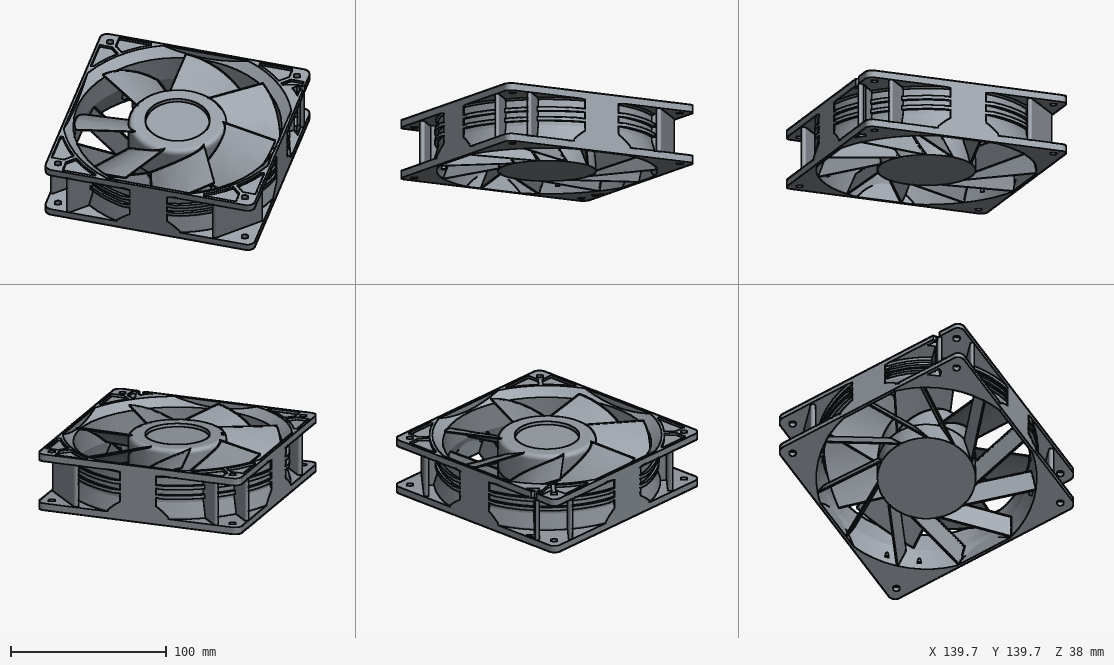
import cadquery as cq
import math

side = 139.7
height = 38.0
half = side / 2
corner_radius = 4.9
flange = 4.7
gap = height - 2 * flange
upper_flange_z = height - flange

bore_radius = 67.0
barrel_radius = 70.1
inlet_radius = 73.8
inlet_depth = 5.0
inlet_outer_depth = 5.9
inlet_slope = (inlet_radius - bore_radius) / inlet_depth
outlet_depth = 15.2
outlet_outer_radius = 72.9
outlet_rim_z = 5.9
outlet_radius = 71.0
mouth_half = 68.0
fin_radius = 72.1
fin_height = 2.4
fin_bottoms = (18.0, 24.5)
panel_width = 24.9

hole_diameter = 4.3
hole_pitch = 124.8
radial_rib_width = 2.7
radial_rib_edge = half - radial_rib_width / 2
cross_rib_width = 3.4
cross_rib_edge = 67.2
cross_rib_offset = 43.9
radial_rib_offset = 53.4
radial_rib_run = 12.0
tie_end = 48.9

pocket_depth = 1.7
pocket_start = 36.2
pocket_end = 57.8
pocket_radius = 75.6
web_offset = 2.0
pocket_fillet = 0.5

wire_wall_y = 54.0
wire_opening_x = 67.9
wire_opening_y = 52.2
slit_overlap = 0.8

base_radius = 31.6
vane_count = 11
vane_start_angle = 9.5
vane_top_z = 13.8
vane_top_offset = 20.4
vane_bottom_offset = 26.8
vane_thickness = 0.8
vane_inner_end = 11.2

hub_radius = 31.6
hub_bottom = outlet_depth
hub_top = 37.7
hub_fillet = 3.2
recess_radius = 20.8
recess_floor_radius = 20.4
recess_depth = 2.1
blade_count = 7
blade_tip_radius = 66.1
blade_root_radius = hub_radius - hub_fillet
blade_lead_x = -12.5
blade_lead_z = 37.6
blade_trail_x = 18.3
blade_trail_lean = 0.16
blade_trail_z = 16.0
blade_thickness = 0.7
knee_fraction = 0.7
knee_drop = 12.2
blade_section_ys = (14.0, 69.8)


def revolved(points):
    """Solid of revolution about Z from (radius, z) points."""
    return cq.Workplane("XZ").polyline(points).close().revolve(360, (0, 0), (0, 1))


def disc(radius, bottom, top):
    return cq.Workplane("XY").workplane(offset=bottom).circle(radius).extrude(top - bottom)


def square_block(width, bottom, top):
    return cq.Workplane("XY").workplane(offset=bottom).rect(width, width).extrude(top - bottom)


def prism(points, bottom, top):
    return cq.Workplane("XY").workplane(offset=bottom).polyline(points).close().extrude(top - bottom)


def turned(shape, angle):
    return shape.rotate((0, 0, 0), (0, 0, 1), angle)


def rounded_envelope():
    return square_block(side, 0, height).edges("|Z").fillet(corner_radius)


def barrel_outside():
    inlet_start_z = height - inlet_outer_depth
    inlet_outer_radius = barrel_radius + inlet_slope * inlet_outer_depth
    return revolved([
        (0, 0),
        (outlet_outer_radius, 0),
        (outlet_outer_radius, outlet_rim_z),
        (barrel_radius, outlet_depth),
        (barrel_radius, inlet_start_z),
        (inlet_outer_radius, height),
        (0, height),
    ])


def barrel_inside():
    bore = revolved([
        (0, 0),
        (outlet_radius, 0),
        (bore_radius, outlet_depth),
        (bore_radius, height - inlet_depth),
        (inlet_radius, height),
        (0, height),
    ])
    return bore.intersect(square_block(2 * mouth_half, 0, height))


def flanges():
    lower = square_block(side, 0, flange)
    upper = square_block(side, upper_flange_z, height)
    return lower.union(upper)


def side_panels():
    along_x = cq.Workplane("XY").box(side, panel_width, height, centered=(True, True, False))
    return along_x.union(turned(along_x, 90))


def rib(start, end, width):
    """Upright wall with round ends between two points, from flange to flange."""
    run_x = end[0] - start[0]
    run_y = end[1] - start[1]
    length = math.hypot(run_x, run_y)
    angle = math.degrees(math.atan2(run_y, run_x))
    wall = cq.Workplane("XY").slot2D(length + width, width).extrude(gap)
    middle = ((start[0] + end[0]) / 2, (start[1] + end[1]) / 2, flange)
    return turned(wall, angle).translate(middle)


def corner_ribs():
    """Ribs parallel to the X = Y diagonal; a short tie joins each cross rib to the barrel."""
    cross_start = (cross_rib_offset, -cross_rib_edge)
    cross_end = (cross_rib_edge, -cross_rib_offset)
    cross_rib = rib(cross_start, cross_end, cross_rib_width)
    cross_middle = (cross_rib_offset + cross_rib_edge) / 2
    tie = rib((cross_middle, -cross_middle), (tie_end, -tie_end), cross_rib_width)

    inner_x = radial_rib_offset - radial_rib_run
    inner_y = radial_rib_edge - radial_rib_run
    beside_y = rib((radial_rib_offset, radial_rib_edge), (inner_x, inner_y), radial_rib_width)
    beside_x = rib((radial_rib_edge, radial_rib_offset), (inner_y, inner_x), radial_rib_width)

    ribs = cross_rib.union(tie).union(beside_y).union(beside_x)
    return ribs.union(turned(ribs, 180))


def pocket():
    """Pocket beside the +Y side, near the +X +Y corner."""
    outline = prism(
        [
            (pocket_start, mouth_half),
            (pocket_end, mouth_half),
            (pocket_end, pocket_end + web_offset),
            (pocket_start, pocket_start + web_offset),
        ],
        height - pocket_depth,
        height,
    )
    return outline.cut(disc(pocket_radius, 0, height)).edges("|Z").fillet(pocket_fillet)


def wire_pocket():
    """Shortened pocket that leaves room for the wire outlet."""
    return prism(
        [
            (pocket_end + web_offset, pocket_end),
            (mouth_half, pocket_end),
            (mouth_half, wire_wall_y),
            (64.3, 53.6),
            (56.2, 51.4),
            (54.5, 52.5),
        ],
        height - pocket_depth,
        height,
    )


def wire_outlet():
    """Opening through both flanges, with a slit to the +X side in the upper one."""
    opening = prism([
        (62.9, 49.9),
        (65.0, wire_opening_y),
        (wire_opening_x, wire_opening_y),
        (wire_opening_x, 43.9),
    ], 0, height)
    slit_inner_x = wire_opening_x - slit_overlap
    slit = prism([
        (slit_inner_x, wire_opening_y),
        (half, wire_wall_y),
        (half, 49.2),
        (slit_inner_x, 51.1),
    ], upper_flange_z, height)
    return opening.union(slit)


def pockets():
    upper_pocket = pocket()
    lower_pocket = upper_pocket.mirror("XZ").rotate((0, 0, 0), (0, 0, 1), 90)
    cuts = wire_pocket().union(upper_pocket)
    for quarter in range(1, 4):
        cuts = cuts.union(turned(upper_pocket, 90 * quarter))
        cuts = cuts.union(turned(lower_pocket, 90 * quarter))
    return cuts


def vane():
    section = [
        (vane_top_offset, vane_top_z),
        (vane_top_offset + vane_thickness, vane_top_z),
        (vane_bottom_offset, 0),
        (vane_bottom_offset - vane_thickness, 0),
    ]
    plane = cq.Workplane("YZ").workplane(offset=vane_inner_end)
    return plane.polyline(section).close().extrude(bore_radius - vane_inner_end)


def stator():
    body = disc(base_radius, 0, outlet_depth)
    one_vane = vane()
    for index in range(vane_count):
        body = body.union(turned(one_vane, vane_start_angle + index * 360 / vane_count))
    return body


def build_frame():
    barrel = barrel_outside().intersect(rounded_envelope())
    body = barrel.union(flanges()).union(side_panels())
    for bottom in fin_bottoms:
        body = body.union(disc(fin_radius, bottom, bottom + fin_height))
    body = body.intersect(rounded_envelope()).cut(barrel_inside()).union(corner_ribs())
    body = body.cut(pockets()).cut(wire_outlet())
    holes = (
        cq.Workplane("XY")
        .rect(hole_pitch, hole_pitch, forConstruction=True)
        .vertices()
        .circle(hole_diameter / 2)
        .extrude(height)
    )
    return body.cut(holes).union(stator().intersect(barrel))


def hub():
    body = disc(hub_radius, hub_bottom, hub_top).faces(">Z").edges().fillet(hub_fillet)
    floor_z = hub_top - recess_depth
    recess = revolved([(0, floor_z), (recess_floor_radius, floor_z), (recess_radius, hub_top), (0, hub_top)])
    return body.cut(recess)


def blade_section(y):
    """Thin plate section at distance y, curling down towards the trailing edge."""
    trail_x = blade_trail_x + blade_trail_lean * y
    knee_x = blade_lead_x + knee_fraction * (trail_x - blade_lead_x)
    knee_z = blade_lead_z - knee_drop

    def point(x, z):
        return cq.Vector(x, y, z)

    lead_top = point(blade_lead_x, blade_lead_z)
    lead_bottom = point(blade_lead_x, blade_lead_z - blade_thickness)
    knee_top = point(knee_x, knee_z)
    knee_bottom = point(knee_x, knee_z - blade_thickness)
    trail_top = point(trail_x, blade_trail_z)
    trail_bottom = point(trail_x - blade_thickness, blade_trail_z)
    return cq.Wire.assembleEdges([
        cq.Edge.makeSpline([lead_top, knee_top, trail_top]),
        cq.Edge.makeLine(trail_top, trail_bottom),
        cq.Edge.makeSpline([trail_bottom, knee_bottom, lead_bottom]),
        cq.Edge.makeLine(lead_bottom, lead_top),
    ])


def blade():
    sheet = cq.Solid.makeLoft([blade_section(y) for y in blade_section_ys], True)
    ring = disc(blade_tip_radius, 0, height).cut(disc(blade_root_radius, 0, height))
    return cq.Workplane(sheet).intersect(ring)


def build_rotor():
    body = hub()
    one_blade = blade()
    for index in range(blade_count):
        body = body.union(turned(one_blade, index * 360 / blade_count))
    return body


frame = build_frame()
rotor = build_rotor()

result = cq.Compound.makeCompound([frame.solids().val(), rotor.solids().val()])